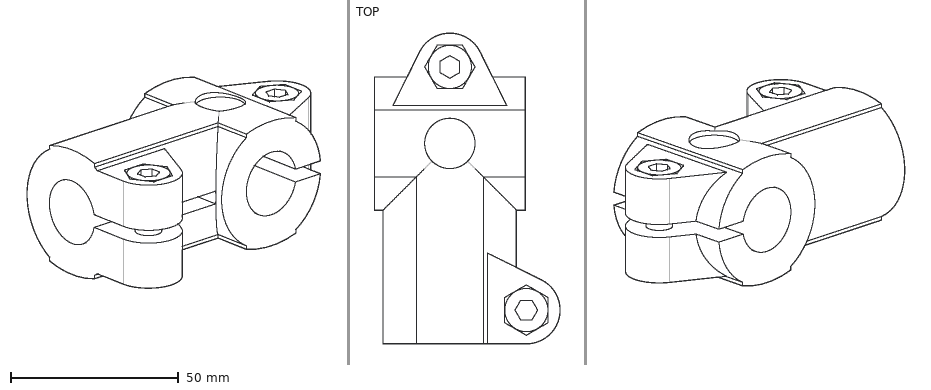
import cadquery as cq
import math

barrel_diameter = 40.0
barrel_radius = barrel_diameter / 2
cross_length = 45.1
stem_length = 59.8
bore_radius = 10.0
crown_half_width = 10.0
crown_edge_height = 18.45
stem_bore_depth = stem_length - barrel_radius

bolt_offset = 22.8
ear_radius = 10.1
ear_half_thickness = 16.5
slot_width = 4.1

shank_diameter = 8.0
head_diameter = 12.9
head_height = 8.0
pocket_across_corners = 15.0
socket_across_corners = 6.8
socket_depth = 5.0
socket_turn = 30

recess_diameter = 15.0
recess_floor = 18.3


def barrel_profile(plane):
    """Round section with a flatter, raised crown at the top and bottom."""
    shoulder_height = math.sqrt(barrel_radius**2 - crown_half_width**2)
    return (
        cq.Workplane(plane)
        .moveTo(crown_half_width, shoulder_height)
        .lineTo(crown_half_width, crown_edge_height)
        .threePointArc((0, barrel_radius), (-crown_half_width, crown_edge_height))
        .lineTo(-crown_half_width, shoulder_height)
        .threePointArc((-barrel_radius, 0), (-crown_half_width, -shoulder_height))
        .lineTo(-crown_half_width, -crown_edge_height)
        .threePointArc((0, -barrel_radius), (crown_half_width, -crown_edge_height))
        .lineTo(crown_half_width, -shoulder_height)
        .threePointArc((barrel_radius, 0), (crown_half_width, shoulder_height))
        .close()
    )


def ear(square_end):
    """Ear pointing to +Y; its left side tapers, its right side is square or tapers too."""
    base_half_width = cross_length / 2
    to_tip_angle = math.atan2(bolt_offset, base_half_width)
    tangent_angle = math.asin(ear_radius / math.hypot(bolt_offset, base_half_width))
    side_angle = to_tip_angle + tangent_angle
    tangent_x = ear_radius * math.sin(side_angle)
    tangent_y = bolt_offset + ear_radius * math.cos(side_angle)

    outline = (
        cq.Workplane("XY")
        .workplane(offset=-ear_half_thickness)
        .moveTo(-base_half_width, 0)
        .lineTo(-tangent_x, tangent_y)
    )
    tip = (0, bolt_offset + ear_radius)
    if square_end:
        outline = outline.threePointArc(tip, (ear_radius, bolt_offset)).lineTo(ear_radius, 0)
    else:
        outline = outline.threePointArc(tip, (tangent_x, tangent_y)).lineTo(base_half_width, 0)
    return outline.close().extrude(2 * ear_half_thickness)


def hexagon(across_corners, depth, turn=0):
    """Hexagonal prism at the bolt axis, reaching down from the top of the ear."""
    return (
        cq.Workplane("XY")
        .workplane(offset=ear_half_thickness)
        .polygon(6, across_corners)
        .extrude(-depth)
        .rotate((0, 0, 0), (0, 0, 1), turn)
        .translate((0, bolt_offset, 0))
    )


def bolt():
    """Socket head bolt, flush with the top of the ear."""
    axis = cq.Workplane("XY").center(0, bolt_offset)
    head = axis.workplane(offset=ear_half_thickness).circle(head_diameter / 2).extrude(-head_height)
    shank = axis.circle(shank_diameter / 2).extrude(slot_width, both=True)
    return head.union(shank).cut(hexagon(socket_across_corners, socket_depth, socket_turn))


def slot(length):
    """Clamping gap from the barrel axis out past the ear tip, centred on X = 0."""
    reach = bolt_offset + 2 * ear_radius
    return cq.Workplane("XY").box(length, reach, slot_width, centered=(True, False, True))


def on_stem(shape, distance):
    """Turn a feature made for +Y to face +X and move it along the stem."""
    return shape.rotate((0, 0, 0), (0, 0, 1), -90).translate((0, -distance, 0))


stem_ear_distance = stem_length - ear_radius
stem_slot_distance = stem_length - stem_bore_depth / 2

cross = barrel_profile("YZ").extrude(cross_length / 2, both=True)
stem = barrel_profile("XZ").extrude(stem_length)
body = cross.union(stem)
body = body.union(ear(square_end=False)).union(on_stem(ear(square_end=True), stem_ear_distance))

cross_bore = cq.Workplane("YZ").circle(bore_radius).extrude(cross_length, both=True)
stem_bore = (
    cq.Workplane("XZ")
    .workplane(offset=stem_length)
    .circle(bore_radius)
    .extrude(-stem_bore_depth)
)
recess = (
    cq.Workplane("XY")
    .workplane(offset=recess_floor)
    .circle(recess_diameter / 2)
    .extrude(barrel_radius)
)
pocket = hexagon(pocket_across_corners, head_height)

body = body.cut(cross_bore).cut(stem_bore).cut(recess)
body = body.cut(slot(cross_length)).cut(on_stem(slot(stem_bore_depth), stem_slot_distance))
body = body.cut(pocket).cut(on_stem(pocket, stem_ear_distance))
result = body.union(bolt()).union(on_stem(bolt(), stem_ear_distance))